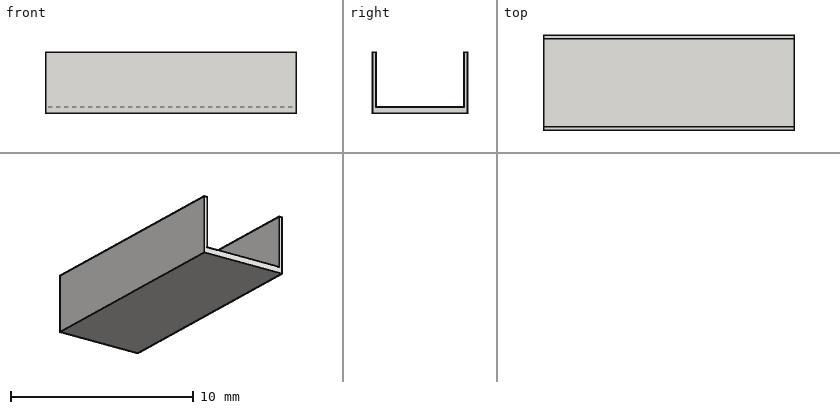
import cadquery as cq

length = 13.75
width = 5.22
height = 3.35

wall_thickness = 0.2
floor_thickness = 0.36


def centred_block(block_width, bottom, top):
    """Full-length block, centred in X and Y, between two heights."""
    return (
        cq.Workplane("XY")
        .workplane(offset=bottom)
        .rect(length, block_width)
        .extrude(top - bottom)
    )


body = centred_block(width, 0, height)
trough = centred_block(width - 2 * wall_thickness, floor_thickness, height)

result = body.cut(trough)